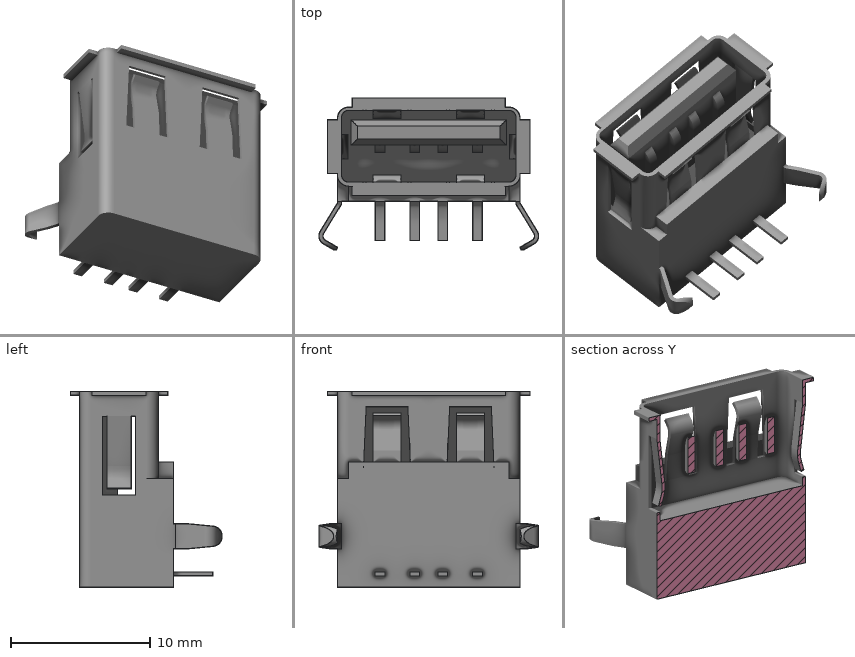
import cadquery as cq
import math


body_width = 13.14
body_depth = 6.77
body_height = 14.1
shell_depth = 5.69
wall = 0.3
back_wall = 0.23
corner_radius = 0.82
floor_height = 6.0
half_width = body_width / 2
shell_front = body_depth - shell_depth
shell_middle = shell_front + shell_depth / 2

shoulder_height = 7.84
block_height = 9.02
block_width = body_width - 2 * corner_radius

flange_thickness = 0.3
flange_reach_x = 0.71
flange_reach_y = 0.66
flange_length_x = 11.0
flange_length_y = 3.88

terminal_positions = (-3.5, -1.0, 1.0, 3.5)
terminal_width = 0.7

tongue_width = 11.14
tongue_front = 4.03
tongue_thickness = 1.81
tongue_top = 13.7
tongue_chamfer_side = 0.44
tongue_chamfer_height = 0.72
contact_top = 12.16
contact_shoulder = (0.19, 11.95)
contact_crest = (0.54, 11.1)
contact_end = 9.2
contact_bottom = 8.9

pin_length = 2.82
pin_thickness = 0.3
pin_bottom = 0.83

finger_offset_x = 3.0
wide_window_top = 13.0
wide_window_top_width = 3.0
wide_window_bottom_width = 3.45
wide_finger_width = 2.0
wide_finger_bend_radius = 0.7
wide_finger_path = [(0, shoulder_height - wall), (0, shoulder_height), (0.12, 9.82), (0.592, 11.753), (0, 12.345)]

side_window_bottom = 6.66
side_window_top = 12.3
side_window_width = 2.36
side_finger_width = 1.76
side_finger_bend_radius = 2.0
side_finger_path = [(0, side_window_top + wall), (0, side_window_top), (0.5, 8.3), (0.15, 7.15)]

clip_height = 3.68
clip_width = 1.82
clip_end_width = 1.46
clip_taper_start = -0.98
clip_round_start = -2.85
clip_tip = -3.49
clip_bend_radius = 0.35
clip_path = [(wall - half_width, 0.3), (wall - half_width, -0.21), (-7.735, -2.62), (-6.545, -3.31)]


def box(x_range, y_range, z_range):
    """Axis-aligned block between the given limits."""
    size = [limits[1] - limits[0] for limits in (x_range, y_range, z_range)]
    corner = (x_range[0], y_range[0], z_range[0])
    return cq.Workplane("XY").box(*size, centered=False).translate(corner)


def offset_path(path, distance):
    """Copy of an open polyline moved to its left by distance, with mitred corners."""
    headings = [math.atan2(b[1] - a[1], b[0] - a[0]) for a, b in zip(path, path[1:])]
    before = [headings[0]] + headings
    after = headings + [headings[-1]]
    moved = []
    for (x, y), heading_in, heading_out in zip(path, before, after):
        normal = (heading_in + heading_out) / 2 + math.pi / 2
        reach = distance / math.cos((heading_out - heading_in) / 2)
        moved.append((x + reach * math.cos(normal), y + reach * math.sin(normal)))
    return moved


def bent_strip(plane, path, offset, width, bend, inside_radius):
    """Sheet strip along path, thickened to the offset side and rounded at point number bend.

    The path side is the inside of the rounded bend."""
    far_side = offset_path(path, offset)
    strip = cq.Workplane(plane).polyline(path + far_side[::-1]).close().extrude(width / 2, both=True)
    outside_radius = inside_radius + abs(offset)
    for corner, radius in ((path[bend], inside_radius), (far_side[bend], outside_radius)):
        location = plane.toWorldCoords((corner[0], corner[1], 0))
        strip = strip.edges(cq.NearestToPointSelector(location.toTuple())).fillet(radius)
    return strip


def both_sides(shape):
    """The shape together with its mirror image across X = 0."""
    return shape.union(shape.mirror("YZ"))


def front_and_back(shape):
    """The shape together with its mirror image across the middle of the shell depth."""
    return shape.union(shape.mirror("XZ", (0, shell_middle, 0)))


def make_shell():
    outer = (
        box((-half_width, half_width), (shell_front, body_depth), (0, body_height))
        .edges("|Z")
        .fillet(corner_radius)
    )
    base = (
        box((-half_width, half_width), (0, body_depth), (0, shoulder_height))
        .edges("|Z and >Y")
        .fillet(corner_radius)
    )
    block = box((-block_width / 2, block_width / 2), (0, shell_front + wall), (0, block_height))
    cavity = (
        box(
            (wall - half_width, half_width - wall),
            (shell_front + wall, body_depth - back_wall),
            (floor_height, body_height),
        )
        .edges("|Z")
        .fillet(corner_radius - wall)
    )
    flanges = make_flanges()
    return outer.union(base).union(block).union(flanges).cut(cavity)


def make_flanges():
    rim = (body_height - flange_thickness, body_height)
    wide = box(
        (-flange_length_x / 2, flange_length_x / 2),
        (shell_front - flange_reach_y, body_depth + flange_reach_y),
        rim,
    )
    narrow = box(
        (-half_width - flange_reach_x, half_width + flange_reach_x),
        (shell_middle - flange_length_y / 2, shell_middle + flange_length_y / 2),
        rim,
    )
    return wide.union(narrow)


def make_wide_window():
    """Cutter for the -X window of the front wall, narrowing towards its top."""
    outline = [
        (-wide_window_bottom_width / 2, shoulder_height),
        (-wide_window_top_width / 2, wide_window_top),
        (wide_window_top_width / 2, wide_window_top),
        (wide_window_bottom_width / 2, shoulder_height),
    ]
    window = cq.Workplane("XZ").polyline(outline).close().extrude(-wall)
    return window.translate((-finger_offset_x, shell_front, 0))


def make_side_window():
    """Cutter for the window of the -X wall."""
    y_range = (shell_middle - side_window_width / 2, shell_middle + side_window_width / 2)
    return box((-half_width, wall - half_width), y_range, (side_window_bottom, side_window_top))


def make_wide_finger():
    plane = cq.Plane.YZ((-finger_offset_x, shell_front, 0))
    return bent_strip(plane, wide_finger_path, -wall, wide_finger_width, 3, wide_finger_bend_radius)


def make_side_finger():
    plane = cq.Plane.XZ((-half_width, shell_middle, 0))
    return bent_strip(plane, side_finger_path, wall, side_finger_width, 2, side_finger_bend_radius)


def make_tongue():
    tongue = box(
        (-tongue_width / 2, tongue_width / 2),
        (tongue_front, tongue_front + tongue_thickness),
        (floor_height, tongue_top),
    )
    return tongue.faces(">Z").chamfer(tongue_chamfer_height, tongue_chamfer_side)


def make_contact(x):
    """Rounded bump standing out of the tongue's front face."""
    shoulder_rise, shoulder_z = contact_shoulder
    crest_rise, crest_z = contact_crest
    bump = (
        cq.Workplane("YZ")
        .moveTo(tongue_front, contact_bottom)
        .lineTo(tongue_front, contact_top)
        .lineTo(tongue_front - shoulder_rise, shoulder_z)
        .tangentArcPoint((tongue_front - crest_rise, crest_z), relative=False)
        .lineTo(tongue_front - crest_rise, contact_end)
        .close()
        .extrude(terminal_width / 2, both=True)
    )
    return bump.translate((x, 0, 0))


def make_pin(x):
    return box(
        (x - terminal_width / 2, x + terminal_width / 2),
        (-pin_length, 0),
        (pin_bottom, pin_bottom + pin_thickness),
    )


def make_clip():
    """Bent clip on the -X side, tapering to a round tip."""
    plane = cq.Plane.XY((0, 0, clip_height))
    strip = bent_strip(plane, clip_path, -wall, clip_width, 2, clip_bend_radius)
    root_y = clip_path[0][1]
    profile = (
        cq.Workplane("YZ", origin=(0, 0, clip_height))
        .moveTo(root_y, clip_width / 2)
        .lineTo(clip_taper_start, clip_width / 2)
        .lineTo(clip_round_start, clip_end_width / 2)
        .threePointArc((clip_tip, 0), (clip_round_start, -clip_end_width / 2))
        .lineTo(clip_taper_start, -clip_width / 2)
        .lineTo(root_y, -clip_width / 2)
        .close()
        .extrude(-body_width)
    )
    return strip.intersect(profile)


result = make_shell()
result = result.cut(front_and_back(both_sides(make_wide_window())))
result = result.cut(both_sides(make_side_window()))
result = result.union(front_and_back(both_sides(make_wide_finger())))
result = result.union(both_sides(make_side_finger()))
result = result.union(make_tongue())
for position in terminal_positions:
    result = result.union(make_contact(position))
    result = result.union(make_pin(position))
result = result.union(both_sides(make_clip()))